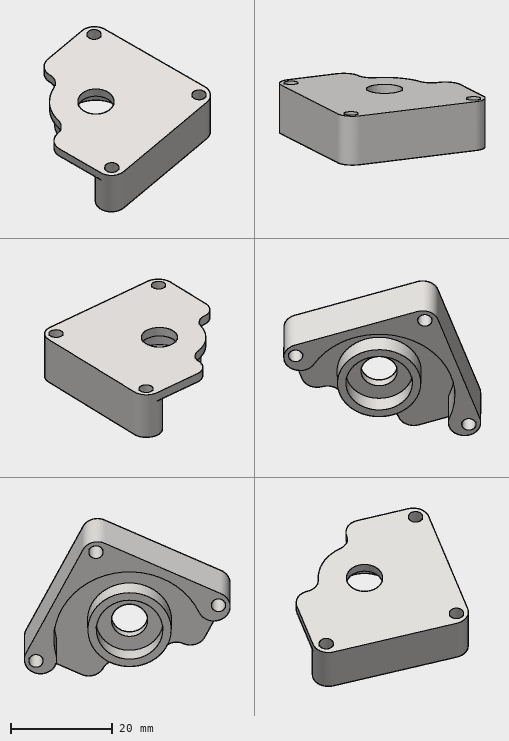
import cadquery as cq
import math

side = 32.0
height = 10.0
plate_thickness = 2.0
corner_radius = 3.2
blend_radius = 3.0

bore_center = 15.0
bore_diameter = 7.15
collar_depth = 4.0
collar_top_radius = 8.32
collar_bottom_radius = 8.22
collar_wall = 1.65

screw_diameter = 2.8
screw_inset = 2.53

plate_bottom = height - plate_thickness
far = side - corner_radius


def toward(start, end, distance):
    """Point at the given distance from start on the line to end."""
    ratio = distance / math.dist(start, end)
    return tuple(a + (b - a) * ratio for a, b in zip(start, end))


def mirrored(point):
    """Reflect a point across the diagonal x = y."""
    return point[1], point[0]


def circle_point(center, radius, angle):
    """Point on a circle at an angle in degrees."""
    turn = math.radians(angle)
    return center[0] + radius * math.cos(turn), center[1] + radius * math.sin(turn)


def arc_between(center, radius, start, end):
    """Point halfway along the short arc from start to end."""
    chord_middle = tuple((a + b) / 2 for a, b in zip(start, end))
    return toward(center, chord_middle, radius)


axis = (bore_center, bore_center)


def make_plate():
    lobe = (bore_center + corner_radius, corner_radius)
    blend = (bore_center - blend_radius, corner_radius)
    nose_radius = math.dist(axis, blend) - blend_radius
    nose_start = toward(axis, blend, nose_radius)
    blend_start = (bore_center, corner_radius)
    lobe_start = (lobe[0], 0)
    lobe_middle = circle_point(lobe, corner_radius, 225)
    blend_middle = arc_between(blend, blend_radius, blend_start, nose_start)
    nose_middle = circle_point(axis, nose_radius, 225)
    outline = (
        cq.Workplane("XY", origin=(0, 0, plate_bottom))
        .moveTo(*lobe_start)
        .threePointArc(lobe_middle, blend_start)
        .threePointArc(blend_middle, nose_start)
        .threePointArc(nose_middle, mirrored(nose_start))
        .threePointArc(mirrored(blend_middle), mirrored(blend_start))
        .threePointArc(mirrored(lobe_middle), mirrored(lobe_start))
        .lineTo(0, side)
        .lineTo(side, side)
        .lineTo(side, 0)
        .close()
    )
    square_corners = cq.selectors.BoxSelector((far, -0.32, 0), (side + 0.32, side + 0.32, height))
    far_left_corner = cq.selectors.BoxSelector((-0.32, far, 0), (0.32, side + 0.32, height))
    plate = outline.extrude(plate_thickness)
    plate = plate.edges("|Z").edges(square_corners).fillet(corner_radius)
    return plate.edges("|Z").edges(far_left_corner).fillet(corner_radius)


def make_wall():
    end_center = (far, corner_radius)
    hollow_radius = math.dist(axis, end_center) - corner_radius
    end_start = (far, 0)
    hollow_start = toward(axis, end_center, hollow_radius)
    end_middle = circle_point(end_center, corner_radius, 180)
    hollow_middle = circle_point(axis, hollow_radius, 45)
    outer_middle = circle_point(end_center, corner_radius, -45)
    return (
        cq.Workplane("XY")
        .moveTo(*end_start)
        .threePointArc(end_middle, hollow_start)
        .threePointArc(hollow_middle, mirrored(hollow_start))
        .threePointArc(mirrored(end_middle), mirrored(end_start))
        .threePointArc(mirrored(outer_middle), mirrored((side, corner_radius)))
        .lineTo(far, side)
        .threePointArc(circle_point((far, far), corner_radius, 45), (side, far))
        .lineTo(side, corner_radius)
        .threePointArc(outer_middle, end_start)
        .close()
        .extrude(plate_bottom)
    )


def make_collar():
    collar_bottom = plate_bottom - collar_depth
    profile = [
        (collar_top_radius - collar_wall, plate_bottom),
        (collar_top_radius, plate_bottom),
        (collar_bottom_radius, collar_bottom),
        (collar_bottom_radius - collar_wall, collar_bottom),
    ]
    ring = cq.Workplane("XZ").polyline(profile).close().revolve(360, (0, 0), (0, 1))
    return ring.translate((bore_center, bore_center, 0))


def cylinder_cutter(centers, diameter):
    return cq.Workplane("XY").pushPoints(centers).circle(diameter / 2).extrude(height)


screw_far = side - screw_inset
screw_centers = [(screw_inset, screw_far), (screw_far, screw_far), (screw_far, screw_inset)]

result = make_collar().union(make_wall()).union(make_plate())
result = result.cut(cylinder_cutter([axis], bore_diameter))
result = result.cut(cylinder_cutter(screw_centers, screw_diameter))